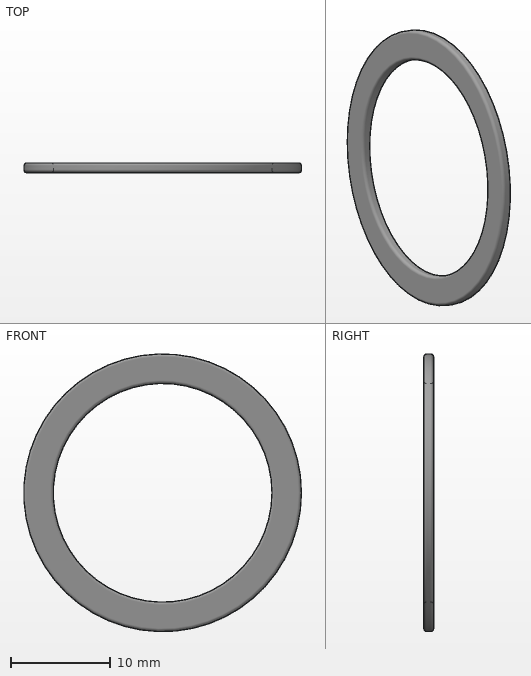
import cadquery as cq

outer_diameter = 28.0
bore_diameter = 22.0
thickness = 1.0
edge_radius = 0.3

ring = (
    cq.Workplane("XZ", origin=(0, thickness / 2, 0))
    .circle(outer_diameter / 2)
    .circle(bore_diameter / 2)
    .extrude(thickness)
)

result = ring.faces("|Y").edges().fillet(edge_radius)